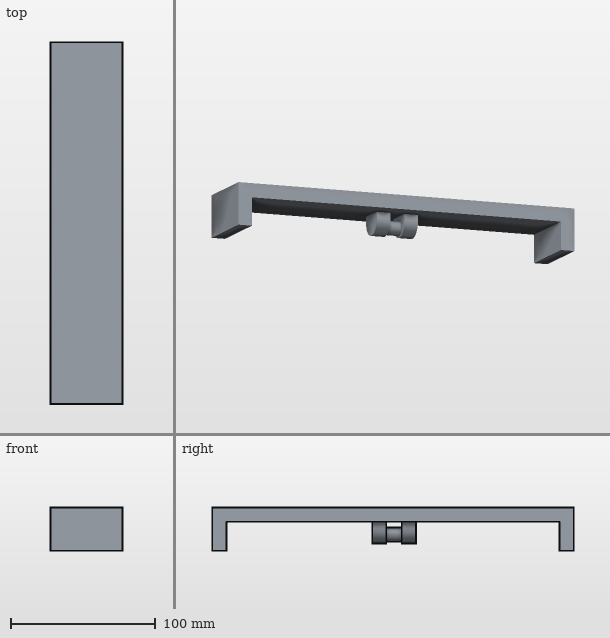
import cadquery as cq

length = 250.0
width = 50.0
height = 30.0
wall = 10.0

lug_thickness = 10.0
lug_gap = 10.5
lug_radius = 10.0
lug_straight = 5.0
lug_offset_y = 0.8
pin_radius = 5.0
pin_drop = 8.8

plate_underside = height - wall
lug_axis_z = plate_underside - lug_straight
pin_axis_z = plate_underside - pin_drop
lug_pitch = lug_thickness + lug_gap


def make_bridge():
    """Flat plate with a foot across each end."""
    bridge = cq.Workplane("XY").box(width, length, height, centered=(True, True, False))
    opening = cq.Workplane("XY").box(
        width, length - 2 * wall, plate_underside, centered=(True, True, False)
    )
    return bridge.cut(opening)


def make_lug(center_y):
    """Lug with a half-round lower end, its top flush with the plate underside."""
    return (
        cq.Workplane("XZ", origin=(0, center_y + lug_thickness / 2, 0))
        .moveTo(-lug_radius, plate_underside)
        .lineTo(-lug_radius, lug_axis_z)
        .threePointArc((0, lug_axis_z - lug_radius), (lug_radius, lug_axis_z))
        .lineTo(lug_radius, plate_underside)
        .close()
        .extrude(lug_thickness)
    )


def make_pin():
    """Round pin spanning the gap between the lugs."""
    return (
        cq.Workplane("XZ", origin=(0, lug_offset_y + lug_pitch / 2, 0))
        .center(0, pin_axis_z)
        .circle(pin_radius)
        .extrude(lug_pitch)
    )


result = make_bridge()
for side in (-1, 1):
    result = result.union(make_lug(lug_offset_y + side * lug_pitch / 2))
result = result.union(make_pin())